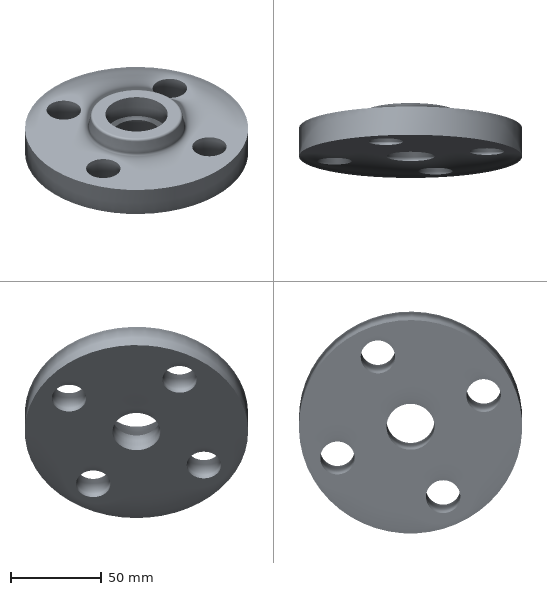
import cadquery as cq
import math

flange_diameter = 123.9
flange_thickness = 16.0

overall_height = 25.4
hub_base_diameter = 53.9
hub_taper_angle = 10.0
hub_fillet_radius = 1.5
hub_height = overall_height - flange_thickness
hub_top_diameter = hub_base_diameter - 2 * hub_height * math.tan(math.radians(hub_taper_angle))

bore_diameter = 26.6
socket_diameter = 34.6
socket_depth = 12.5

bolt_hole_count = 4
bolt_hole_diameter = 19.1
bolt_circle_diameter = 88.9


def flange_with_hub():
    """Revolve the disc and the tapered hub, then round the hub's root and rim."""
    body = (
        cq.Workplane("XZ")
        .moveTo(0, 0)
        .lineTo(flange_diameter / 2, 0)
        .lineTo(flange_diameter / 2, flange_thickness)
        .lineTo(hub_base_diameter / 2, flange_thickness)
        .lineTo(hub_top_diameter / 2, overall_height)
        .lineTo(0, overall_height)
        .close()
        .revolve(360, (0, 0, 0), (0, 1, 0))
    )
    hub_root = cq.selectors.RadiusNthSelector(1)
    hub_rim = cq.selectors.RadiusNthSelector(0)
    body = body.edges("%CIRCLE").edges(hub_root).fillet(hub_fillet_radius)
    return body.faces(">Z").edges(hub_rim).fillet(hub_fillet_radius)


def cut_socket_and_bore(body):
    """Cut the stepped centre hole from the hub's top face."""
    return body.faces(">Z").workplane(origin=(0, 0, overall_height)).cboreHole(
        bore_diameter, socket_diameter, socket_depth
    )


def cut_bolt_holes(body):
    """Drill the bolt holes through the disc, evenly spaced on the bolt circle."""
    holes = (
        cq.Workplane("XY")
        .polarArray(bolt_circle_diameter / 2, 0, 360, bolt_hole_count)
        .circle(bolt_hole_diameter / 2)
        .extrude(flange_thickness)
    )
    return body.cut(holes)


result = cut_bolt_holes(cut_socket_and_bore(flange_with_hub()))